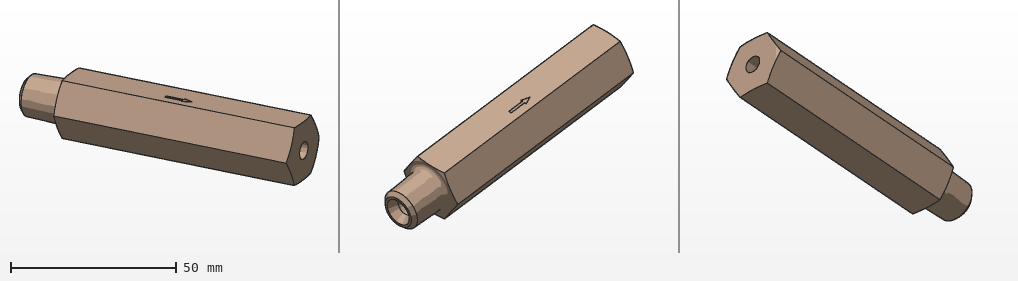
import cadquery as cq
import math

total_length = 94.0
across_flats = 19.1
hex_sides = 6
across_corners = across_flats / math.cos(math.pi / hex_sides)
shoulder_x = 14.3
corner_chamfer_angle = 15.0

tip_diameter = 10.7
tip_chamfer = 1.3
taper_start_diameter = 13.3
collar_diameter = 13.9
taper_end_x = 10.5
root_fillet = 1.6

bore_diameter = 5.5
seat_diameter = 9.0
seat_angle = 60.0

arrow_tail_x = 48.0
arrow_neck_x = 54.0
arrow_tip_x = 56.95
arrow_center_y = -2.0
arrow_shaft_width = 0.9
arrow_head_width = 2.2
arrow_depth = 0.1


def revolve_about_x(points):
    """Solid of revolution about X from (x, radius) points."""
    return cq.Workplane("XY").polyline(points).close().revolve(360, (0, 0, 0), (1, 0, 0))


def make_hex_bar():
    """Hexagonal bar with flats on top and bottom and its end corners turned off conically."""
    length = total_length - shoulder_x
    bar = (
        cq.Workplane("YZ", origin=(shoulder_x, 0, 0))
        .polygon(hex_sides, across_corners)
        .extrude(length)
    )
    end_radius = across_flats / 2
    rise = across_corners / 2 - end_radius
    run = rise * math.tan(math.radians(corner_chamfer_angle))
    turned_envelope = revolve_about_x([
        (shoulder_x, 0),
        (shoulder_x, end_radius),
        (shoulder_x + run, end_radius + rise),
        (total_length - run, end_radius + rise),
        (total_length, end_radius),
        (total_length, 0),
    ])
    return bar.intersect(turned_envelope)


def make_spigot():
    """Tapered spigot, running slightly into the bar so the two join."""
    collar_radius = collar_diameter / 2
    fillet_start_x = shoulder_x - root_fillet
    overlap_x = shoulder_x + root_fillet
    arc_offset = root_fillet * math.sqrt(0.5)
    fillet_middle = (fillet_start_x + arc_offset, collar_radius + root_fillet - arc_offset)
    return (
        cq.Workplane("XY")
        .lineTo(0, tip_diameter / 2)
        .lineTo(tip_chamfer, taper_start_diameter / 2)
        .lineTo(taper_end_x, collar_radius)
        .lineTo(fillet_start_x, collar_radius)
        .threePointArc(fillet_middle, (shoulder_x, collar_radius + root_fillet))
        .lineTo(overlap_x, collar_radius + root_fillet)
        .lineTo(overlap_x, 0)
        .close()
        .revolve(360, (0, 0, 0), (1, 0, 0))
    )


def make_bore():
    """Through hole with a conical seat at the spigot tip."""
    bore_radius = bore_diameter / 2
    seat_radius = seat_diameter / 2
    seat_depth = (seat_radius - bore_radius) / math.tan(math.radians(seat_angle / 2))
    return revolve_about_x([
        (0, 0),
        (0, seat_radius),
        (seat_depth, bore_radius),
        (total_length, bore_radius),
        (total_length, 0),
    ])


def make_arrow():
    """Flow arrow pointing toward +X, sunk into the top flat."""
    half_shaft = arrow_shaft_width / 2
    half_head = arrow_head_width / 2
    return (
        cq.Workplane("XY", origin=(0, arrow_center_y, across_flats / 2))
        .polyline([
            (arrow_tail_x, -half_shaft),
            (arrow_neck_x, -half_shaft),
            (arrow_neck_x, -half_head),
            (arrow_tip_x, 0),
            (arrow_neck_x, half_head),
            (arrow_neck_x, half_shaft),
            (arrow_tail_x, half_shaft),
        ])
        .close()
        .extrude(-arrow_depth)
    )


result = make_hex_bar().union(make_spigot()).cut(make_bore()).cut(make_arrow())